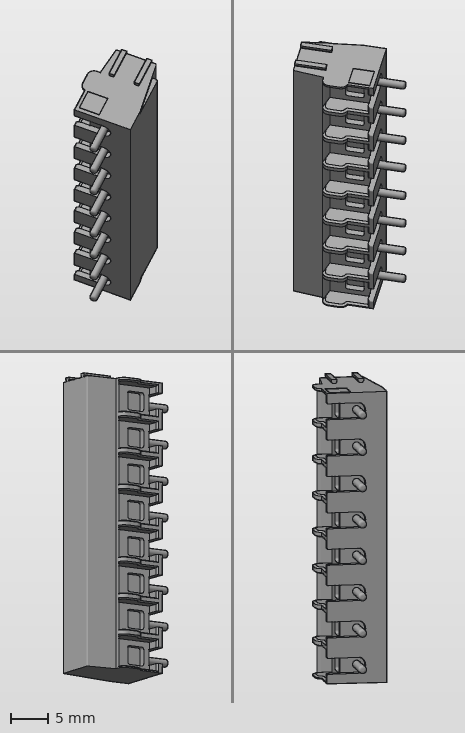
import cadquery as cq
import math

block_width = 8.28
block_height = 11.35
pole_count = 8
first_pole = 2.5
block_length = 40.05
pole_pitch = (block_length - 2 * first_pole) / (pole_count - 1)
overall_length = 40.55
end_face_draft = 0.12

flange_reach = 0.75
flange_radius = 1.0
flange_top = 7.05
flange_low_centre = 4.55
crown_left = 1.25
crown_right = 7.2
crown_foot = 0.77
crown_radius = 0.2
slope_foot = 3.25

plate_height = 9.35
plate_thickness = 1.62
plate_radius = 0.3
plate_inset = 0.5

cell_depth = 2.0
cell_mouth_height = 4.45
cell_inner_height = 4.15
cell_low = 0.8
cell_mouth_low = 0.6
cell_floor_high = 6.45
cell_inner_high = 6.8
flare_depth = 0.35
cell_step_depth = 0.6

window_side = 2.6
window_centre = 3.0
window_depth = 0.9
window_radius = 0.35

slot_width = 2.2
slot_depth = 0.85
slot_mouth_radius = 0.15
pin_place = 4.25
pin_diameter = 1.1
pin_reach = 3.53
pin_tip_radius = 0.32

rail_places = (2.45, 6.13)
rail_head_width = 0.77
rail_neck_width = 0.5
rail_neck_height = 0.25

label_side = 2.92
label_corner = (0.5, 0.6)
label_depth = 0.1


def block_outline(start_z):
    """Closed cross-section of the block, with its rounded flange, at a given height."""
    flange_centre_x = flange_radius - flange_reach
    flange_high_centre = flange_top - flange_radius
    flange_low = flange_low_centre - math.sqrt(flange_radius**2 - flange_centre_x**2)
    diagonal = flange_radius * math.sin(math.pi / 4)
    low_angle = math.atan2(flange_low_centre - flange_low, flange_centre_x) / 2
    low_middle = (
        flange_centre_x - flange_radius * math.cos(low_angle),
        flange_low_centre - flange_radius * math.sin(low_angle),
    )
    return (
        cq.Workplane("XY", origin=(0, 0, start_z))
        .moveTo(0, 0)
        .lineTo(block_width, 0)
        .lineTo(block_width, slope_foot)
        .lineTo(crown_right, block_height)
        .lineTo(crown_left, block_height)
        .lineTo(crown_foot, flange_top)
        .lineTo(flange_centre_x, flange_top)
        .threePointArc(
            (flange_centre_x - diagonal, flange_high_centre + diagonal),
            (-flange_reach, flange_high_centre),
        )
        .lineTo(-flange_reach, flange_low_centre)
        .threePointArc(low_middle, (0, flange_low))
        .close()
    )


def make_block():
    """Extrude the cross-section, round its crown and draft its lower end face."""
    block = block_outline(0).extrude(block_length).edges("|Z and >Y").fillet(crown_radius)
    end_wedge = (
        cq.Workplane("XZ")
        .polyline([(-flange_reach, 0), (block_width, 0), (-flange_reach, end_face_draft)])
        .close()
        .extrude(-block_height)
    )
    return block.cut(end_wedge)


def make_side_plate():
    """Flat plate that fills out the sloped back up to its own height."""
    return (
        cq.Workplane("XY", origin=(0, 0, plate_inset))
        .rect(plate_thickness, plate_height, centered=False)
        .extrude(block_length - 2 * plate_inset)
        .edges("|Z and >X and >Y")
        .fillet(plate_radius)
        .translate((block_width - plate_thickness, 0, 0))
    )


def make_cell():
    """Cell void centred on its pin; its divider walls widen towards the mouth."""
    void = (
        cq.Workplane("XY")
        .polyline([
            (-flange_reach, cell_mouth_low),
            (0, cell_mouth_low),
            (flare_depth, cell_low),
            (cell_depth, cell_low),
            (cell_depth, cell_floor_high),
            (cell_step_depth, cell_inner_high),
            (0, flange_top),
            (-flange_reach, flange_top),
        ])
        .close()
        .extrude(cell_mouth_height / 2, both=True)
    )
    flare_height = (cell_mouth_height - cell_inner_height) / 2
    flare_angle = math.degrees(math.atan2(flare_depth, flare_height))
    divider_cap = block_outline(-cell_mouth_height / 2).extrude(flare_height, taper=flare_angle)
    void = void.cut(divider_cap).cut(divider_cap.mirror("XY"))
    window = (
        cq.Workplane("YZ", origin=(cell_depth, window_centre, 0))
        .rect(window_side, window_side)
        .extrude(window_depth)
        .edges("|X")
        .fillet(window_radius)
    )
    return void.union(window)


def make_slot():
    """Round-ended slot in the pin face, flared where it leaves the side wall."""
    half_width = slot_width / 2
    flared_half = half_width + slot_mouth_radius
    flare_middle = slot_mouth_radius * (1 - math.sin(math.pi / 4))
    return (
        cq.Workplane("XZ")
        .moveTo(0, -flared_half)
        .threePointArc((flare_middle, -half_width - flare_middle), (slot_mouth_radius, -half_width))
        .lineTo(pin_place, -half_width)
        .threePointArc((pin_place + half_width, 0), (pin_place, half_width))
        .lineTo(slot_mouth_radius, half_width)
        .threePointArc((flare_middle, half_width + flare_middle), (0, flared_half))
        .close()
        .extrude(-slot_depth)
    )


def make_pin():
    """Round pin standing on the slot floor, with a rounded tip."""
    return (
        cq.Workplane("XZ", origin=(pin_place, slot_depth, 0))
        .circle(pin_diameter / 2)
        .extrude(slot_depth + pin_reach)
        .faces("<Y")
        .edges()
        .fillet(pin_tip_radius)
    )


def make_rail(rail_x):
    """Dovetail rail running from the flange level to the crown."""
    rail_height = overall_length - block_length
    half_neck = rail_neck_width / 2
    half_head = rail_head_width / 2
    return (
        cq.Workplane("XZ", origin=(rail_x, flange_top, block_length))
        .polyline([
            (-half_neck, 0),
            (half_neck, 0),
            (half_head, rail_neck_height),
            (half_head, rail_height),
            (-half_head, rail_height),
            (-half_head, rail_neck_height),
        ])
        .close()
        .extrude(flange_top - block_height)
    )


def make_label_recess():
    """Shallow square recess in the upper end face."""
    return (
        cq.Workplane("XY", origin=(*label_corner, block_length))
        .rect(label_side, label_side, centered=False)
        .extrude(-label_depth)
    )


result = make_block().union(make_side_plate()).cut(make_label_recess())

pole_void = make_cell().union(make_slot())
pin = make_pin()
for pole in range(pole_count):
    pole_offset = (0, 0, first_pole + pole * pole_pitch)
    result = result.cut(pole_void.translate(pole_offset)).union(pin.translate(pole_offset))

for rail_x in rail_places:
    result = result.union(make_rail(rail_x))